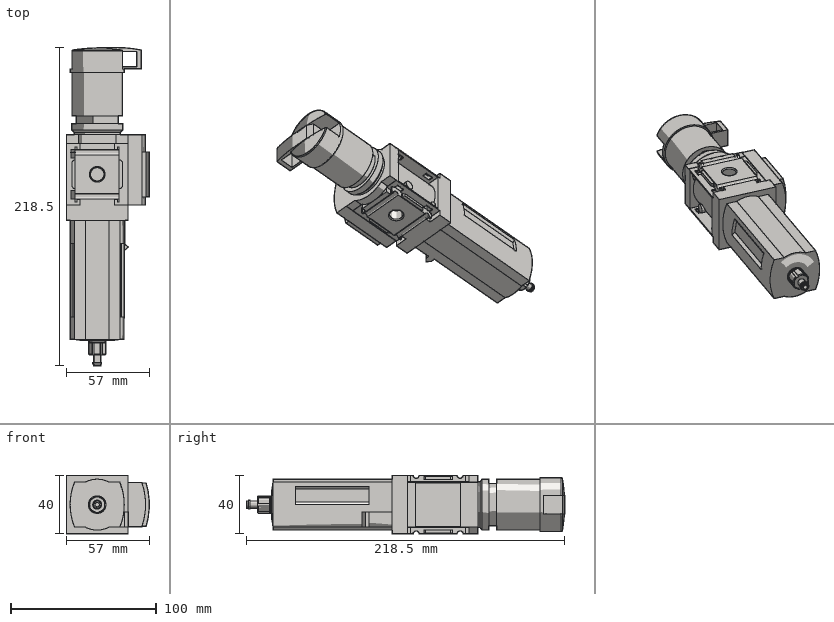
import cadquery as cq

DRAIN_TIP_Y = 0
NUT_START_Y = 7.5
NUT_END_Y = 15.7
BOWL_TIP_Y = 17.3
BOWL_START_Y = 18.1
BOWL_END_Y = 99.9
FLANGE_END_Y = 110.3
PLATE_END_Y = 152.5
HOUSING_END_Y = 158.6
COLLAR_START_Y = 161.7
COLLAR_END_Y = 166.3
KNOB_START_Y = 171.5
CAP_START_Y = 201.2
SLOT_FLOOR_Y = 203.9
KNOB_TOP_Y = 218.5

HOUSING_HALF_X = 21.2
HOUSING_HALF_Z = 20.0
CORE_HALF_Z = 15.5
LEDGE_HALF_Z = 15.7
BULGE_RADIUS = HOUSING_HALF_Z
PLATE_HALF_X = 15.0
PORT_Y = (FLANGE_END_Y + PLATE_END_Y) / 2
PORT_DIAMETER = 9.2
PORT_MOUTH_DIAMETER = 10.7
PORT_DEPTH = 8.7
GROOVE_RADIUS = 2.0
GROOVE_OFFSET_Y = 15.0
TAB_LENGTH = 19.7
TAB_REACH = 2.2
TAB_DROP = 0.7
TAB_THICKNESS = 2.2
TAB_CHAMFER = 1.3
NOTCH_WIDTH = 3.3
NOTCH_LENGTH = 4.0
NOTCH_POST_WIDTH = 1.3
NOTCH_POST_LENGTH = 1.7

POCKET_START_Y = 112.3
POCKET_END_Y = 150.5
POCKET_HALF_Z = 14.9
POCKET_FLOOR_X = -11.0
CORE_DIAMETER = 37.1
LEDGE_SLOT_WIDTH = 3.0
LEDGE_SLOT_LENGTH = 6.0
LEDGE_SLOT_OFFSET_Y = 14.0
BOSS_FACE_X = -19.0
LARGE_BOSS_DIAMETER = 6.1
SMALL_BOSS_DIAMETER = 4.4
LARGE_BOSS_YZ = (137.7, -8.5)
SMALL_BOSS_YZ = [(148.5, 11.0), (114.0, -11.0)]

GAUGE_HALF_Z = 15.3
GAUGE_EDGE_X = 30.5
GAUGE_CROWN_X = 33.2
LENS_EDGE_X = 33.6
LENS_CROWN_X = 35.8
LENS_HALF_Z = 14.9
LENS_START_Y = 116.0
LENS_END_Y = 146.8

NECK_DIAMETER = 29.0
NECK_FLAT_DISTANCE = 12.0
COLLAR_DIAMETER = 35.2
SPIGOT_DIAMETER = 31.7
SPIGOT_END_Y = 160.2

BOWL_DIAMETER = 35.0
BOWL_CORNER_X = 15.5
BOWL_SIDE_X = 18.5
BOWL_END_DIAMETER = 31.7
BOWL_TIP_DIAMETER = 20.0
WINDOW_START_Y = 33.6
WINDOW_END_Y = 84.0
WINDOW_TOP_Z = 12.5
WINDOW_TOP_X = 16.8
WINDOW_DEPTH = 2.2
WINDOW_SLOPE = 1.7
LATCH_THICKNESS = 0.9
LATCH_TOP_Z = -5.0
LATCH_NIB_X = 21.5
LATCH_NIB_START_Y = 79.0

NUT_DIAMETER = 12.0
NUT_NECK_DIAMETER = 10.3
NUT_FLANGE_THICKNESS = 0.9
NUT_CHAMFER = 0.7
NUT_GROOVES = 6
NUT_GROOVE_WIDTH = 1.7
STEM_DIAMETER = 5.0
STEM_BORE_DIAMETER = 3.0
STEM_BORE_DEPTH = 6.5
BARB_DIAMETER = 6.1
BARB_START_Y = 1.3
BARB_LENGTH = 1.0

KNOB_DIAMETER = 35.0
CAP_DIAMETER = 37.1
CAP_FLAT_X = 17.5
CAP_SHOULDER_Y = 215.9
CAP_RIM_DIAMETER = 36.3
CAP_RIM_Y = 216.8
CAP_DOME_DIAMETER = 24.0
CAP_DOME_Y = 217.6
SLOT_HALF_Z = 6.3
SLOT_END_X = -4.4
STAPLE_END_X = 30.4
STAPLE_END_Y = 216.8
STAPLE_CREST_X = 13.1
STAPLE_WINDOW_END_X = 27.0
STAPLE_WINDOW_START_Y = 205.4
STAPLE_WINDOW_END_Y = 215.7


def block(x_range, y_range, z_range):
    """Box between two limits along each axis."""
    size = [high - low for low, high in (x_range, y_range, z_range)]
    return cq.Workplane("XY").box(*size, centered=False).translate((x_range[0], y_range[0], z_range[0]))


def across(y):
    """Sketch plane at height y, with local axes along +X and +Z."""
    return cq.Workplane(cq.Plane(origin=(0, y, 0), xDir=(1, 0, 0), normal=(0, -1, 0)))


def along_y(sketch, length):
    """Extrude a sketch made by across() towards +Y."""
    return sketch.extrude(-length)


def rod(diameter, start_y, end_y):
    """Cylinder on the Y axis."""
    return along_y(across(start_y).circle(diameter / 2), end_y - start_y)


def mirrored_z(shape):
    """The shape together with its mirror image across the XY plane."""
    return shape.union(shape.mirror("XY"))


def crowned_block(edge_x, crown_x, half_z, start_y, end_y):
    """Block on the +X side of the housing whose outer face is an arc."""
    sketch = (
        across(start_y)
        .moveTo(HOUSING_HALF_X, -half_z)
        .lineTo(edge_x, -half_z)
        .threePointArc((crown_x, 0), (edge_x, half_z))
        .lineTo(HOUSING_HALF_X, half_z)
        .close()
    )
    return along_y(sketch, end_y - start_y)


def gauge():
    base = crowned_block(GAUGE_EDGE_X, GAUGE_CROWN_X, GAUGE_HALF_Z, FLANGE_END_Y, HOUSING_END_Y)
    lens = crowned_block(LENS_EDGE_X, LENS_CROWN_X, LENS_HALF_Z, LENS_START_Y, LENS_END_Y)
    return base.union(lens)


def corner_notches():
    """Recesses in the four corners of the port plate, each leaving a small post."""
    notch = block(
        (PLATE_HALF_X - NOTCH_WIDTH, PLATE_HALF_X),
        (PLATE_END_Y - NOTCH_LENGTH, PLATE_END_Y),
        (LEDGE_HALF_Z, HOUSING_HALF_Z),
    )
    post = block(
        (PLATE_HALF_X - NOTCH_POST_WIDTH, PLATE_HALF_X),
        (PLATE_END_Y - NOTCH_LENGTH, PLATE_END_Y - NOTCH_LENGTH + NOTCH_POST_LENGTH),
        (LEDGE_HALF_Z, HOUSING_HALF_Z),
    )
    upper = notch.cut(post)
    upper = upper.union(upper.mirror("YZ"))
    return upper.union(upper.mirror("XZ", (0, PORT_Y, 0)))


def port_plate():
    """Raised plate on the +Z face, with side tabs, corner notches and two round grooves."""
    plate = block(
        (-PLATE_HALF_X, PLATE_HALF_X), (FLANGE_END_Y, PLATE_END_Y), (CORE_HALF_Z, HOUSING_HALF_Z)
    )
    tab_half_x = PLATE_HALF_X + TAB_REACH
    tabs = block(
        (-tab_half_x, tab_half_x),
        (PORT_Y - TAB_LENGTH / 2, PORT_Y + TAB_LENGTH / 2),
        (HOUSING_HALF_Z - TAB_DROP - TAB_THICKNESS, HOUSING_HALF_Z - TAB_DROP),
    )
    plate = plate.union(tabs.edges("|Z").chamfer(TAB_CHAMFER)).cut(corner_notches())
    for side in (-1, 1):
        groove = (
            cq.Workplane("YZ")
            .center(PORT_Y + side * GROOVE_OFFSET_Y, HOUSING_HALF_Z)
            .circle(GROOVE_RADIUS)
            .extrude(2 * PLATE_HALF_X)
            .translate((-PLATE_HALF_X, 0, 0))
        )
        plate = plate.cut(groove)
    return plate


def port():
    """Blind port hole in the +Z face with a countersunk mouth."""
    mouth_depth = (PORT_MOUTH_DIAMETER - PORT_DIAMETER) / 2
    profile = (
        cq.Workplane("XZ")
        .polyline([
            (0, HOUSING_HALF_Z),
            (PORT_MOUTH_DIAMETER / 2, HOUSING_HALF_Z),
            (PORT_DIAMETER / 2, HOUSING_HALF_Z - mouth_depth),
            (PORT_DIAMETER / 2, HOUSING_HALF_Z - PORT_DEPTH),
            (0, HOUSING_HALF_Z - PORT_DEPTH),
        ])
        .close()
    )
    return profile.revolve(360, (0, 0, 0), (0, 1, 0)).translate((0, PORT_Y, 0))


def ledge_slots():
    """Slots through the +Z wall of the side pocket, beside the plate grooves."""
    slots = cq.Workplane("XY")
    for side in (-1, 1):
        middle_y = PORT_Y + side * LEDGE_SLOT_OFFSET_Y
        slots = slots.union(block(
            (-PLATE_HALF_X - LEDGE_SLOT_WIDTH, -PLATE_HALF_X),
            (middle_y - LEDGE_SLOT_LENGTH / 2, middle_y + LEDGE_SLOT_LENGTH / 2),
            (POCKET_HALF_Z, HOUSING_HALF_Z),
        ))
    return slots


def side_pocket():
    """Pocket in the -X side, leaving the round core and three bosses inside it."""
    pocket = block(
        (-HOUSING_HALF_X, POCKET_FLOOR_X), (POCKET_START_Y, POCKET_END_Y), (-POCKET_HALF_Z, POCKET_HALF_Z)
    )
    pocket = pocket.cut(rod(CORE_DIAMETER, POCKET_START_Y, POCKET_END_Y))
    bosses = cq.Workplane("YZ", origin=(BOSS_FACE_X, 0, 0)).pushPoints([LARGE_BOSS_YZ])
    bosses = bosses.circle(LARGE_BOSS_DIAMETER / 2).extrude(POCKET_FLOOR_X - BOSS_FACE_X)
    small_bosses = cq.Workplane("YZ", origin=(BOSS_FACE_X, 0, 0)).pushPoints(SMALL_BOSS_YZ)
    small_bosses = small_bosses.circle(SMALL_BOSS_DIAMETER / 2).extrude(POCKET_FLOOR_X - BOSS_FACE_X)
    return pocket.cut(bosses).cut(small_bosses)


def neck():
    """Collar with a tapered underside, and the neck with one flat that carries the knob."""
    collar = (
        cq.Workplane("XY")
        .polyline([
            (0, HOUSING_END_Y),
            (SPIGOT_DIAMETER / 2, HOUSING_END_Y),
            (SPIGOT_DIAMETER / 2, SPIGOT_END_Y),
            (COLLAR_DIAMETER / 2, COLLAR_START_Y),
            (COLLAR_DIAMETER / 2, COLLAR_END_Y),
            (0, COLLAR_END_Y),
        ])
        .close()
        .revolve(360, (0, 0, 0), (0, 1, 0))
    )
    beyond_flat = block(
        (-NECK_DIAMETER, -NECK_FLAT_DISTANCE), (COLLAR_END_Y, KNOB_START_Y), (-NECK_DIAMETER, NECK_DIAMETER)
    )
    beyond_flat = beyond_flat.rotate((0, 0, 0), (0, 1, 0), 45)
    return collar.union(rod(NECK_DIAMETER, COLLAR_END_Y, KNOB_START_Y).cut(beyond_flat))


def make_housing():
    full_x = (-HOUSING_HALF_X, HOUSING_HALF_X)
    flange = block(full_x, (BOWL_END_Y, FLANGE_END_Y), (-HOUSING_HALF_Z, HOUSING_HALF_Z))
    middle = block(full_x, (FLANGE_END_Y, PLATE_END_Y), (-LEDGE_HALF_Z, LEDGE_HALF_Z))
    upper = block(full_x, (PLATE_END_Y, HOUSING_END_Y), (-CORE_HALF_Z, CORE_HALF_Z))
    bulge = rod(2 * BULGE_RADIUS, PLATE_END_Y, HOUSING_END_Y)
    body = flange.union(middle).union(upper).union(bulge)
    body = body.union(mirrored_z(port_plate())).union(gauge()).union(neck())
    return body.cut(side_pocket()).cut(mirrored_z(ledge_slots())).cut(mirrored_z(port()))


def bowl_section(side_x, start_y, end_y, corner_x):
    """Prism with flat +Z and -Z faces and gently curved sides."""
    sketch = (
        across(start_y)
        .moveTo(-corner_x, -CORE_HALF_Z)
        .lineTo(corner_x, -CORE_HALF_Z)
        .threePointArc((side_x, 0), (corner_x, CORE_HALF_Z))
        .lineTo(-corner_x, CORE_HALF_Z)
        .threePointArc((-side_x, 0), (-corner_x, -CORE_HALF_Z))
        .close()
    )
    return along_y(sketch, end_y - start_y)


def sight_window():
    """Recess with sloped long walls in the -X side of the bowl, above the middle plane."""
    inner_x = -BOWL_SIDE_X + WINDOW_DEPTH
    sketch = (
        across(WINDOW_START_Y)
        .polyline([
            (-BOWL_SIDE_X, 0),
            (inner_x, WINDOW_SLOPE),
            (-WINDOW_TOP_X + WINDOW_SLOPE, WINDOW_TOP_Z - WINDOW_SLOPE),
            (-WINDOW_TOP_X, WINDOW_TOP_Z),
            (-BOWL_SIDE_X, WINDOW_TOP_Z),
        ])
        .close()
    )
    return along_y(sketch, WINDOW_END_Y - WINDOW_START_Y)


def latch():
    """Wider bowl section for the latch strip, and the pointed nib at the end of the strip."""
    strip = bowl_section(
        BOWL_SIDE_X + LATCH_THICKNESS, WINDOW_END_Y, BOWL_END_Y, BOWL_CORNER_X + LATCH_THICKNESS
    )
    nib_middle_y = (LATCH_NIB_START_Y + WINDOW_END_Y) / 2
    nib = (
        cq.Workplane("XY", origin=(0, 0, -CORE_HALF_Z))
        .polyline([
            (BOWL_CORNER_X, LATCH_NIB_START_Y),
            (BOWL_SIDE_X, LATCH_NIB_START_Y),
            (LATCH_NIB_X, nib_middle_y),
            (BOWL_SIDE_X, WINDOW_END_Y),
            (BOWL_CORNER_X, WINDOW_END_Y),
        ])
        .close()
        .extrude(LATCH_TOP_Z + CORE_HALF_Z)
    )
    return strip, nib


def drain():
    """Grooved nut with a hose barb below it."""
    flange = rod(NUT_DIAMETER, BOWL_TIP_Y - NUT_FLANGE_THICKNESS, BOWL_TIP_Y)
    nut_neck = rod(NUT_NECK_DIAMETER, NUT_END_Y, BOWL_TIP_Y)
    nut = rod(NUT_DIAMETER, NUT_START_Y, NUT_END_Y).faces("<Y").edges().chamfer(NUT_CHAMFER)
    groove = block(
        (-NUT_DIAMETER, -NUT_NECK_DIAMETER / 2),
        (NUT_START_Y, NUT_END_Y),
        (-NUT_GROOVE_WIDTH / 2, NUT_GROOVE_WIDTH / 2),
    )
    for index in range(NUT_GROOVES):
        nut = nut.cut(groove.rotate((0, 0, 0), (0, 1, 0), index * 360 / NUT_GROOVES))
    stem = rod(STEM_DIAMETER, DRAIN_TIP_Y, NUT_START_Y)
    barb = rod(BARB_DIAMETER, BARB_START_Y, BARB_START_Y + BARB_LENGTH)
    bore = rod(STEM_BORE_DIAMETER, DRAIN_TIP_Y, STEM_BORE_DEPTH)
    return flange.union(nut_neck).union(nut).union(stem).union(barb).cut(bore)


def make_bowl():
    body = bowl_section(BOWL_SIDE_X, BOWL_START_Y, BOWL_END_Y, BOWL_CORNER_X)
    body = body.union(rod(BOWL_DIAMETER, BOWL_START_Y, BOWL_END_Y))
    window = sight_window()
    body = body.cut(window).cut(window.mirror("YZ"))
    end_cone = (
        across(BOWL_START_Y)
        .circle(BOWL_END_DIAMETER / 2)
        .workplane(offset=BOWL_START_Y - BOWL_TIP_Y)
        .circle(BOWL_TIP_DIAMETER / 2)
        .loft()
    )
    strip, nib = latch()
    lower_side = block((0, HOUSING_HALF_X), (WINDOW_END_Y, BOWL_END_Y), (-CORE_HALF_Z, LATCH_TOP_Z))
    return body.union(end_cone).union(strip.intersect(lower_side)).union(nib).union(drain())


def cap():
    """Domed cap, flattened on both X sides and slotted from the -X side to its axis."""
    body = (
        cq.Workplane("XY")
        .moveTo(0, CAP_START_Y)
        .lineTo(CAP_DIAMETER / 2, CAP_START_Y)
        .lineTo(CAP_DIAMETER / 2, CAP_SHOULDER_Y)
        .lineTo(CAP_RIM_DIAMETER / 2, CAP_RIM_Y)
        .threePointArc((CAP_DOME_DIAMETER / 2, CAP_DOME_Y), (0, KNOB_TOP_Y))
        .close()
        .revolve(360, (0, 0, 0), (0, 1, 0))
    )
    slot_y = (SLOT_FLOOR_Y, KNOB_TOP_Y)
    beyond_flat = block((CAP_FLAT_X, CAP_DIAMETER), slot_y, (-CAP_DIAMETER, CAP_DIAMETER))
    body = body.cut(beyond_flat).cut(beyond_flat.mirror("YZ"))
    return body.cut(block((-CAP_DIAMETER, 0), slot_y, (-SLOT_HALF_Z, SLOT_HALF_Z)))


def staple():
    """Padlock loop that fills the inner end of the cap slot and stands out of the cap towards +X."""
    loop = (
        cq.Workplane("XY", origin=(0, 0, -SLOT_HALF_Z))
        .moveTo(STAPLE_END_X, SLOT_FLOOR_Y)
        .lineTo(SLOT_END_X, SLOT_FLOOR_Y)
        .lineTo(SLOT_END_X, CAP_SHOULDER_Y)
        .lineTo(0, KNOB_TOP_Y)
        .lineTo(STAPLE_CREST_X, KNOB_TOP_Y)
        .tangentArcPoint((STAPLE_END_X, STAPLE_END_Y), relative=False)
        .close()
        .extrude(2 * SLOT_HALF_Z)
    )
    return loop.cut(block(
        (CAP_FLAT_X, STAPLE_WINDOW_END_X),
        (STAPLE_WINDOW_START_Y, STAPLE_WINDOW_END_Y),
        (-SLOT_HALF_Z, SLOT_HALF_Z),
    ))


def make_knob():
    return rod(KNOB_DIAMETER, KNOB_START_Y, CAP_START_Y).union(cap()).union(staple())


housing = make_housing()
bowl = make_bowl()
knob = make_knob()
result = cq.Compound.makeCompound([housing.val(), bowl.val(), knob.val()])